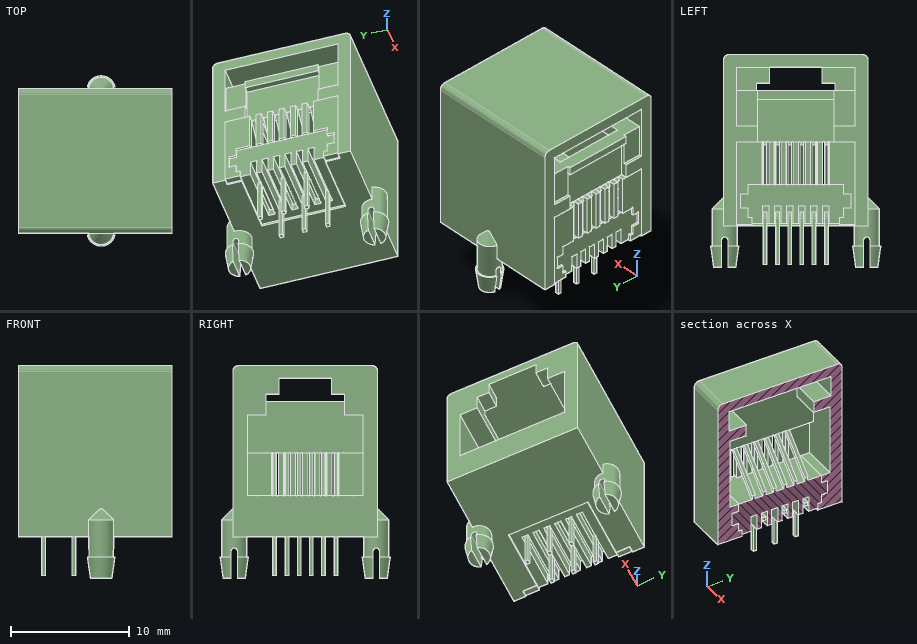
import cadquery as cq
import math


LENGTH = 13.0
WIDTH = 12.25
HEIGHT = 14.5
REAR = -7.0
FRONT = REAR + LENGTH
TOP_EDGE_RADIUS = 0.5

OPENING_WIDTH = 10.0
CEILING_Z = 13.4
LEDGE_Z = 11.45
CROSSBAR_TOP_Z = 8.45
CROSSBAR_BOTTOM_Z = 7.1
WINDOW_RECESS = 0.25
LIP_BOTTOM_Z = 10.7
PANEL_WIDTH = 6.46
PANEL_RECESS = 0.55
REAR_WALL = 1.15

CAVITY_WIDTH = 9.8
CAVITY_TOP_Z = 10.3
LATCH_WIDTH = 6.6
LATCH_TOP_Z = 12.05
LATCH_SLOT_WIDTH = 4.4
LATCH_STOP = 1.5

PEG_Y = 6.0
PEG_RADIUS = 1.07
PEG_SHOULDER_Z = 1.45
COLLAR_RADIUS = 1.2
COLLAR_Z = -1.7
PEG_TIP_RADIUS = 0.95
PEG_BOTTOM_Z = -3.5
SPLIT_WIDTH = 0.52
SPLIT_TOP_Z = -0.94

PLATE_THICKNESS = PANEL_RECESS
PLATE_BOTTOM_Z = 0.13

CARRIER_RECESS = 0.2
CARRIER_LENGTH = 5.85
CARRIER_BACK = REAR + CARRIER_RECESS
CARRIER_TOP_Z = 3.5
CARRIER_BOTTOM_Z = 0.2
CARRIER_WIDTH = 8.1
WING_WIDTH = 9.34
WING_TOP_Z = 2.7
WING_BOTTOM_Z = 1.5
FOOT_WIDTH = 7.42
FOOT_TOP_Z = 0.72

CONTACT_COUNT = 6
SLOT_PITCH = 1.02
SLOT_WIDTH = 0.55
FOOT_SLOT_TOP_Z = 1.7
FOOT_SLOT_LENGTH = 5.05

WIRE_THICKNESS = 0.35
WIRE_WIDTH = 0.32
OUTER_CONTACT_SHIFT = 0.04
PIN_BOTTOM_Z = -3.27
NEAR_PIN_X = REAR + 2.14
FAR_PIN_X = REAR + 4.69
BEND_TOP_Z = 1.2
BEND_RADIUS = 0.55
SPRING_ANGLE = 44.0
SPRING_END_X = REAR + 0.3
SPRING_END_TOP_Z = 7.1
SPRING_ROOT_DEPTH = 0.5


def block(x_min, x_max, width, z_min, z_max, y=0):
    """Box between two X and two Z planes, centred on the given Y."""
    size = (x_max - x_min, width, z_max - z_min)
    box = cq.Workplane("XY").box(*size, centered=(False, True, False))
    return box.translate((x_min, y, z_min))


def carrier_profile(x_min, x_max, bottom_z):
    """Stepped carrier section, extruded along X down to the given bottom."""
    half_outline = [
        (CARRIER_WIDTH / 2, CARRIER_TOP_Z),
        (CARRIER_WIDTH / 2, WING_TOP_Z),
        (WING_WIDTH / 2, WING_TOP_Z),
        (WING_WIDTH / 2, WING_BOTTOM_Z),
        (CARRIER_WIDTH / 2, WING_BOTTOM_Z),
        (CARRIER_WIDTH / 2, FOOT_TOP_Z),
        (FOOT_WIDTH / 2, FOOT_TOP_Z),
        (FOOT_WIDTH / 2, bottom_z),
    ]
    mirrored = [(-y, z) for y, z in reversed(half_outline)]
    section = cq.Workplane("YZ", origin=(x_min, 0, 0)).polyline(half_outline + mirrored).close()
    return section.extrude(x_max - x_min)


def slot_centres():
    """Y positions of the contact slots, from -Y to +Y."""
    return [(i - (CONTACT_COUNT - 1) / 2) * SLOT_PITCH for i in range(CONTACT_COUNT)]


def make_peg(y):
    """Board peg: pointed shank with a tapered snap collar, split along X."""
    half_section = [
        (0, PEG_SHOULDER_Z + PEG_RADIUS),
        (-PEG_RADIUS, PEG_SHOULDER_Z),
        (-PEG_RADIUS, COLLAR_Z),
        (-COLLAR_RADIUS, COLLAR_Z),
        (-PEG_TIP_RADIUS, PEG_BOTTOM_Z),
        (0, PEG_BOTTOM_Z),
    ]
    peg = cq.Workplane("XZ").polyline(half_section).close().revolve(360, (0, 0), (0, 1))
    round_z = SPLIT_TOP_Z - SPLIT_WIDTH / 2
    split = block(-COLLAR_RADIUS, COLLAR_RADIUS, SPLIT_WIDTH, PEG_BOTTOM_Z, round_z)
    split_end = (
        cq.Workplane("YZ", origin=(-COLLAR_RADIUS, 0, round_z))
        .circle(SPLIT_WIDTH / 2)
        .extrude(2 * COLLAR_RADIUS)
    )
    return peg.cut(split).cut(split_end).translate((0, y, 0))


def make_housing():
    """Open shell with the plug cavity, the seat of the insert and two pegs."""
    shell = block(REAR, FRONT, WIDTH, 0, HEIGHT).edges("|X and >Z").fillet(TOP_EDGE_RADIUS)
    inside_limit = block(REAR, FRONT, OPENING_WIDTH, 0, CEILING_Z)
    for y in (-PEG_Y, PEG_Y):
        shell = shell.union(make_peg(y).cut(inside_limit))

    stop_x = FRONT - LATCH_STOP
    window_side = (OPENING_WIDTH - PANEL_WIDTH) / 2
    for side in (-1, 1):
        side_y = side * (PANEL_WIDTH + window_side) / 2
        recess = block(REAR, REAR + WINDOW_RECESS, window_side, CROSSBAR_TOP_Z, LEDGE_Z, side_y)
        shell = shell.cut(recess)
    shell = shell.cut(block(REAR, stop_x, OPENING_WIDTH, LEDGE_Z, CEILING_Z))

    shell = shell.cut(
        block(REAR, REAR + PANEL_RECESS, PANEL_WIDTH, CROSSBAR_BOTTOM_Z, LIP_BOTTOM_Z)
    )

    wall_x = REAR + REAR_WALL
    plate_x = REAR + PLATE_THICKNESS
    shell = shell.cut(block(wall_x, FRONT, CAVITY_WIDTH, CARRIER_TOP_Z, CAVITY_TOP_Z))
    shell = shell.cut(block(plate_x, wall_x, CAVITY_WIDTH, CARRIER_TOP_Z, CROSSBAR_BOTTOM_Z))
    shell = shell.cut(block(wall_x, FRONT, LATCH_WIDTH, CAVITY_TOP_Z, LATCH_TOP_Z))
    shell = shell.cut(block(wall_x, FRONT, LATCH_SLOT_WIDTH, LATCH_TOP_Z, CEILING_Z))

    shell = shell.cut(block(REAR, plate_x, OPENING_WIDTH, 0, CROSSBAR_BOTTOM_Z))
    return shell.cut(carrier_profile(plate_x, CARRIER_BACK + CARRIER_LENGTH, 0))


def make_comb_plate():
    """Rear plate with a slot for each spring, cut out around the carrier."""
    plate_x = REAR + PLATE_THICKNESS
    plate = block(REAR, plate_x, OPENING_WIDTH, PLATE_BOTTOM_Z, CROSSBAR_BOTTOM_Z)
    plate = plate.cut(carrier_profile(REAR, plate_x, PLATE_BOTTOM_Z))
    for y in slot_centres():
        plate = plate.cut(block(REAR, plate_x, SLOT_WIDTH, CARRIER_TOP_Z, CROSSBAR_BOTTOM_Z, y))
    return plate


def make_pin(pin_x, y):
    """Solder pin that bends forward into the end of its carrier slot."""
    left = pin_x - WIRE_THICKNESS / 2
    right = pin_x + WIRE_THICKNESS / 2
    bend_z = BEND_TOP_Z - BEND_RADIUS
    inner_radius = BEND_RADIUS - WIRE_THICKNESS
    diagonal = math.sqrt(0.5)
    centre_x = left + BEND_RADIUS
    pin = (
        cq.Workplane("XZ", origin=(0, y + WIRE_WIDTH / 2, 0))
        .moveTo(left, PIN_BOTTOM_Z)
        .lineTo(left, bend_z)
        .threePointArc(
            (centre_x - BEND_RADIUS * diagonal, bend_z + BEND_RADIUS * diagonal),
            (centre_x, BEND_TOP_Z),
        )
        .lineTo(CARRIER_BACK + FOOT_SLOT_LENGTH, BEND_TOP_Z)
        .lineTo(CARRIER_BACK + FOOT_SLOT_LENGTH, BEND_TOP_Z - WIRE_THICKNESS)
        .lineTo(centre_x, BEND_TOP_Z - WIRE_THICKNESS)
        .threePointArc(
            (centre_x - inner_radius * diagonal, bend_z + inner_radius * diagonal),
            (right, bend_z),
        )
        .lineTo(right, PIN_BOTTOM_Z)
        .close()
    )
    return pin.extrude(WIRE_WIDTH)


def make_spring(y):
    """Straight spring arm that leans out of the carrier top towards the comb plate."""
    angle = math.radians(SPRING_ANGLE)
    drop = SPRING_END_TOP_Z - CARRIER_TOP_Z + SPRING_ROOT_DEPTH
    length = drop / math.sin(angle)
    arm = block(0, length, WIRE_WIDTH, -WIRE_THICKNESS, 0, y).rotate((0, 0, 0), (0, 1, 0), SPRING_ANGLE)
    end_top_x = SPRING_END_X + WIRE_THICKNESS * math.sin(angle)
    return arm.translate((end_top_x, 0, SPRING_END_TOP_Z))


def make_insert():
    """Comb plate and carrier in one piece, with the six contacts moulded in."""
    carrier = carrier_profile(CARRIER_BACK, CARRIER_BACK + CARRIER_LENGTH, CARRIER_BOTTOM_Z)
    slot_end = CARRIER_BACK + FOOT_SLOT_LENGTH
    for y in slot_centres():
        carrier = carrier.cut(
            block(CARRIER_BACK, slot_end, SLOT_WIDTH, CARRIER_BOTTOM_Z, FOOT_SLOT_TOP_Z, y)
        )
    insert = carrier.union(make_comb_plate())
    for i, slot_y in enumerate(slot_centres()):
        is_outer = i in (0, CONTACT_COUNT - 1)
        y = slot_y + math.copysign(OUTER_CONTACT_SHIFT, slot_y) * is_outer
        pin_x = FAR_PIN_X if i % 2 == 0 else NEAR_PIN_X
        insert = insert.union(make_pin(pin_x, y)).union(make_spring(y))
    return insert


housing = make_housing()
insert = make_insert()

result = cq.Compound.makeCompound([housing.solids().val(), insert.solids().val()])